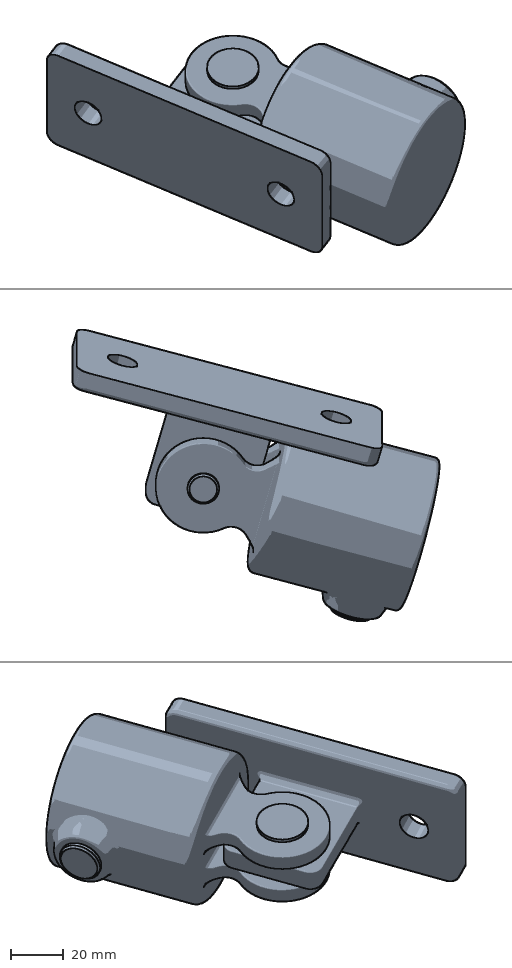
import cadquery as cq
import math


plate_length = 120.0
plate_height = 50.0
plate_thickness = 8.0
plate_bottom_y = -37.0
plate_top_y = plate_bottom_y + plate_thickness
plate_corner_radius = 5.0
plate_edge_radius = 2.0
mount_hole_diameter = 11.6
mount_hole_spacing = 84.0

lug_width = 40.0
lug_thickness = 9.0
lug_top_y = 13.8
lug_corner_radius = 5.0
lug_edge_radius = 0.5
lug_base_radius = 3.0

barrel_radius = 30.0
barrel_start_x = 25.0
barrel_end_x = 85.0
barrel_closed_edge_radius = 3.0
barrel_open_edge_radius = 2.0

ear_radius = 18.0
ear_inner_z = 5.3
ear_thickness = 6.5
ear_outer_z = ear_inner_z + ear_thickness
ear_base_radius = 3.0
ear_edge_radius = 0.5
neck_radius = 6.5
neck_half_width = 12.0

boss_x = 68.0
boss_top_y = 35.0
boss_foot_y = 20.0
boss_height = boss_top_y - boss_foot_y
boss_top_radius = 11.2
boss_half_angle = 20.0
boss_foot_radius = boss_top_radius + boss_height * math.tan(math.radians(boss_half_angle))
boss_top_edge_radius = 1.5
boss_base_radius = 2.0
screw_radius = 8.25
screw_top_y = 37.2
screw_length = 12.0
screw_chamfer = 0.8

pin_shank_radius = 6.0
pin_head_radius = 9.8
pin_head_thickness = 1.4
pin_tail_length = 1.5
pin_tail_chamfer = 0.8

selection_margin = 0.1


def box_around(x_range, y_range, z_range, whole_edge=False):
    """Selector for edges centered in the box, or lying wholly in it."""
    ranges = (x_range, y_range, z_range)
    low_corner = tuple(low - selection_margin for low, high in ranges)
    high_corner = tuple(high + selection_margin for low, high in ranges)
    return cq.selectors.BoxSelector(low_corner, high_corner, boundingbox=whole_edge)


def make_barrel():
    """Solid socket cylinder along X, rounded at both ends."""
    barrel = (
        cq.Workplane("YZ", origin=(barrel_start_x, 0, 0))
        .circle(barrel_radius)
        .extrude(barrel_end_x - barrel_start_x)
    )
    barrel = barrel.faces("<X").edges().fillet(barrel_closed_edge_radius)
    return barrel.faces(">X").edges().fillet(barrel_open_edge_radius)


def make_ear(bottom_z):
    """Round fork ear whose waisted neck widens at 45 degrees to the barrel."""
    arc_y = neck_half_width + neck_radius
    center_distance = ear_radius + neck_radius
    arc_x = math.sqrt(center_distance**2 - arc_y**2)
    tangent_x = arc_x * ear_radius / center_distance
    tangent_y = arc_y * ear_radius / center_distance
    diagonal = neck_radius * math.sqrt(0.5)
    flare_x = arc_x + diagonal
    flare_y = arc_y - diagonal
    root_y = flare_y + barrel_start_x - flare_x

    return (
        cq.Workplane("XY", origin=(0, 0, bottom_z))
        .moveTo(barrel_start_x, root_y)
        .lineTo(flare_x, flare_y)
        .threePointArc((arc_x, neck_half_width), (tangent_x, tangent_y))
        .threePointArc((-ear_radius, 0), (tangent_x, -tangent_y))
        .threePointArc((arc_x, -neck_half_width), (flare_x, -flare_y))
        .lineTo(barrel_start_x, -root_y)
        .close()
        .extrude(ear_thickness)
    )


def make_boss():
    """Conical set screw boss, reaching down inside the barrel."""
    return (
        cq.Workplane("XY")
        .lineTo(boss_foot_radius, 0)
        .lineTo(boss_top_radius, boss_height)
        .lineTo(0, boss_height)
        .close()
        .revolve(360, (0, 0, 0), (0, 1, 0))
        .translate((boss_x, boss_foot_y, 0))
    )


def make_screw():
    screw = (
        cq.Workplane("XZ", origin=(boss_x, screw_top_y, 0))
        .circle(screw_radius)
        .extrude(screw_length)
    )
    return screw.faces(">Y").edges().chamfer(screw_chamfer)


def make_pin():
    """Shank through lug and ears, with a wide head on top and a chamfered tail."""
    shank_bottom = -ear_outer_z - pin_tail_length
    shank = (
        cq.Workplane("XY", origin=(0, 0, shank_bottom))
        .circle(pin_shank_radius)
        .extrude(ear_outer_z - shank_bottom)
        .faces("<Z")
        .edges()
        .chamfer(pin_tail_chamfer)
    )
    head = (
        cq.Workplane("XY", origin=(0, 0, ear_outer_z))
        .circle(pin_head_radius)
        .extrude(pin_head_thickness)
    )
    return shank.union(head)


def make_socket(barrel, pin, screw):
    socket = barrel
    for bottom_z in (ear_inner_z, -ear_outer_z):
        socket = socket.union(make_ear(bottom_z))
    ear_root = box_around(
        (barrel_start_x, barrel_start_x),
        (-ear_radius - ear_base_radius, ear_radius + ear_base_radius),
        (-ear_outer_z, ear_outer_z),
        whole_edge=True,
    )
    socket = socket.edges(ear_root).fillet(ear_base_radius)
    ear_rim = box_around(
        (-ear_radius, 0),
        (-ear_radius, ear_radius),
        (-ear_outer_z, ear_outer_z),
    )
    socket = socket.edges(ear_rim).edges("%CIRCLE").fillet(ear_edge_radius)

    socket = socket.union(make_boss())
    boss_top = box_around(
        (boss_x - boss_top_radius, boss_x + boss_top_radius),
        (boss_top_y, boss_top_y),
        (-boss_top_radius, boss_top_radius),
    )
    socket = socket.edges(boss_top).fillet(boss_top_edge_radius)
    boss_foot = box_around(
        (boss_x - boss_foot_radius, boss_x + boss_foot_radius),
        (boss_foot_y, barrel_radius),
        (-boss_foot_radius, boss_foot_radius),
        whole_edge=True,
    )
    socket = socket.edges(boss_foot).edges("not %LINE").fillet(boss_base_radius)
    return socket.cut(pin).cut(screw)


def make_plate(barrel, pin):
    """Base plate with its lug and the shallow hollow that clears the barrel."""
    plate = (
        cq.Workplane("XZ", origin=(0, plate_top_y, 0))
        .rect(plate_length, plate_height)
        .extrude(plate_thickness)
        .edges("|Y")
        .fillet(plate_corner_radius)
        .faces(">Y")
        .edges()
        .fillet(plate_edge_radius)
    )
    lug_height = lug_top_y - plate_top_y
    lug = (
        cq.Workplane("XY")
        .box(lug_width, lug_height, lug_thickness)
        .translate((0, plate_top_y + lug_height / 2, 0))
        .edges("|Z and >Y")
        .fillet(lug_corner_radius)
        .faces("|Z")
        .edges("not <Y")
        .fillet(lug_edge_radius)
    )
    plate = plate.union(lug)
    lug_root = box_around(
        (-lug_width / 2, lug_width / 2),
        (plate_top_y, plate_top_y),
        (-lug_thickness / 2, lug_thickness / 2),
    )
    plate = plate.edges(lug_root).fillet(lug_base_radius)
    holes = (
        cq.Workplane("XZ", origin=(0, plate_top_y, 0))
        .rarray(mount_hole_spacing, 1, 2, 1)
        .circle(mount_hole_diameter / 2)
        .extrude(plate_thickness)
    )
    return plate.cut(holes).cut(barrel).cut(pin)


barrel = make_barrel()
pin = make_pin()
screw = make_screw()
socket = make_socket(barrel, pin, screw)
plate = make_plate(barrel, pin)

result = cq.Compound.makeCompound([
    plate.solids().val(),
    socket.solids().val(),
    pin.solids().val(),
    screw.solids().val(),
])